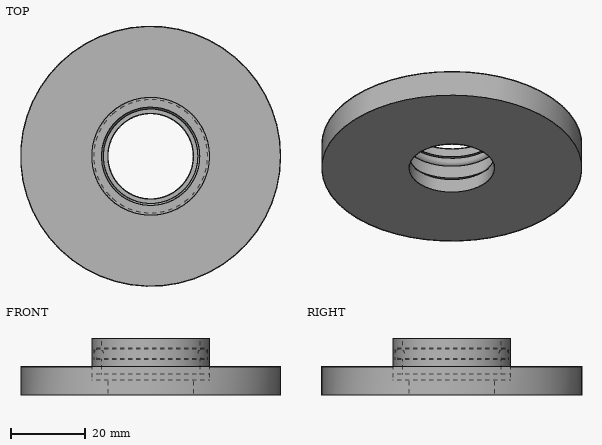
import cadquery as cq

flange_diameter = 70.0
flange_thickness = 7.7
hole_diameter = 22.95
pocket_floor = 4.05

sleeve_diameter = 31.7
bore_diameter = 26.45
sleeve_bottom = 5.75
sleeve_top = 15.25

seal_inner_diameter = 25.4
cord_diameter = 2.6
groove_bottom = 9.6
groove_top = 12.7
groove_diameter = seal_inner_diameter + 2 * cord_diameter


def disc(diameter, bottom, top):
    """Solid cylinder about the Z axis between two heights."""
    return cq.Workplane("XY").workplane(offset=bottom).circle(diameter / 2).extrude(top - bottom)


def make_flange():
    plate = disc(flange_diameter, 0, flange_thickness)
    hole = disc(hole_diameter, 0, flange_thickness)
    pocket = disc(sleeve_diameter, pocket_floor, flange_thickness)
    return plate.cut(hole).cut(pocket)


def make_sleeve():
    tube = disc(sleeve_diameter, sleeve_bottom, sleeve_top)
    bore = disc(bore_diameter, sleeve_bottom, sleeve_top)
    groove = disc(groove_diameter, groove_bottom, groove_top)
    return tube.cut(bore).cut(groove)


def make_seal():
    ring_radius = (seal_inner_diameter + cord_diameter) / 2
    ring_height = (groove_bottom + groove_top) / 2
    return cq.Workplane(cq.Solid.makeTorus(ring_radius, cord_diameter / 2, cq.Vector(0, 0, ring_height)))


flange = make_flange()
sleeve = make_sleeve()
seal = make_seal()

result = cq.Compound.makeCompound([flange.val(), sleeve.val(), seal.val()])